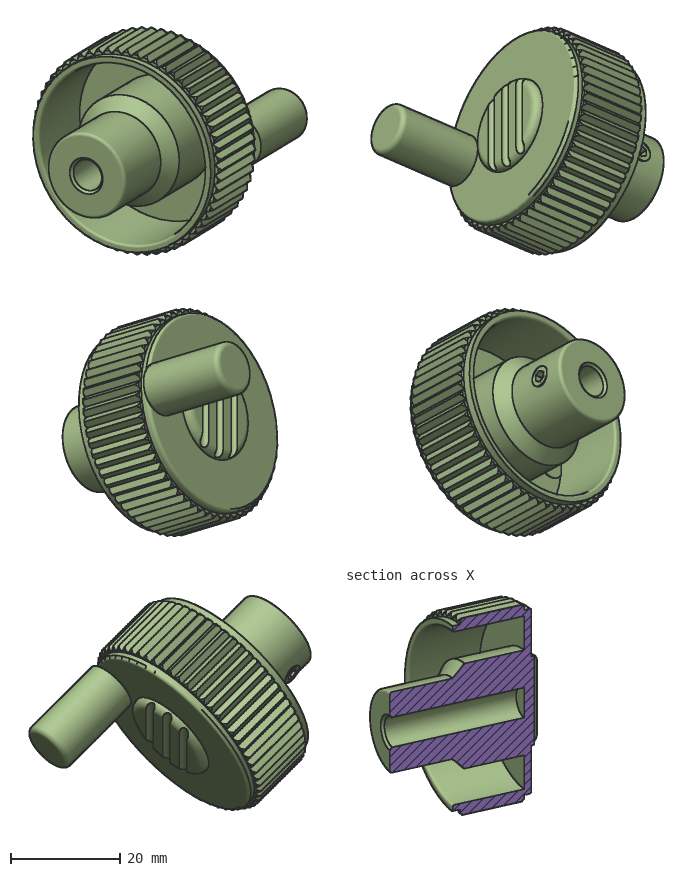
import cadquery as cq
import math

overall_length = 46.98

hub_diameter = 16.5
hub_edge_radius = 0.6
hub_root_diameter = 21.45
bore_diameter = 6.0
bore_chamfer = 0.5

rim_diameter = 37.69
rim_front = 13.0
rim_back = 29.45
rim_back_radius = 0.6
pocket_diameter = 35.05
pocket_floor = 27.8
pocket_edge_radius = 0.5
bore_depth = pocket_floor

tooth_count = 60
tip_radius = 20.0
root_radius = 18.96
knurl_front = 14.55
knurl_back = 27.9
knurl_chamfer = 0.5

cap_diameter = 18.15
cap_height = 1.57
cap_back = rim_back + cap_height
cap_edge_radius = 1.55
groove_diameter = 1.8
groove_pitch = 4.1
groove_axis_depth = 0.12

handle_diameter = 10.0
handle_offset = tip_radius - handle_diameter / 2
handle_edge_radius = 1.0
handle_embedding = 0.05
handle_seat = rim_back - handle_embedding
pin_diameter = 6.0
pin_projection = 0.1

screw_diameter = 4.0
screw_position = 5.5
screw_length = 4.0
socket_across_flats = 2.0
socket_depth = 1.4
socket_tip_depth = 0.5


def cylinder(diameter, start, end, x=0.0):
    """Cylinder parallel to Y, spanning start to end along Y."""
    solid = cq.Solid.makeCylinder(diameter / 2, end - start, cq.Vector(x, start, 0), cq.Vector(0, 1, 0))
    return cq.Workplane(obj=solid)


def make_rim():
    """Cup with a rounded back edge and a rounded pocket mouth, closed by the web behind the pocket."""
    rim = cylinder(rim_diameter, rim_front, rim_back).faces(">Y").edges().fillet(rim_back_radius)
    rim = rim.cut(cylinder(pocket_diameter, rim_front, pocket_floor))
    pocket_edge = cq.selectors.RadiusNthSelector(0)
    return rim.faces("<Y").edges(pocket_edge).fillet(pocket_edge_radius)


def make_knurl():
    """Band of pointed teeth with both ends of every tooth bevelled."""
    points = []
    for step in range(2 * tooth_count):
        radius = tip_radius if step % 2 == 0 else root_radius
        angle = math.pi * step / tooth_count
        points.append((radius * math.cos(angle), radius * math.sin(angle)))
    width = knurl_back - knurl_front
    band = cq.Workplane("XZ", origin=(0, knurl_back, 0)).polyline(points).close().extrude(width)
    envelope = cylinder(2 * tip_radius, knurl_front, knurl_back).edges("%CIRCLE").chamfer(knurl_chamfer)
    return band.intersect(envelope).cut(cylinder(pocket_diameter, knurl_front, knurl_back))


def make_hub():
    """Stepped hub whose 45 degree shoulder starts level with the rim."""
    radius = hub_diameter / 2
    root = hub_root_diameter / 2
    shoulder_end = rim_front + root - radius
    profile = (
        cq.Workplane("XY")
        .polyline(
            [
                (0, 0),
                (radius, 0),
                (radius, rim_front),
                (root, shoulder_end),
                (root, pocket_floor),
                (0, pocket_floor),
            ]
        )
        .close()
    )
    hub = profile.revolve(360, (0, 0, 0), (0, 1, 0))
    return hub.faces("<Y").edges().fillet(hub_edge_radius)


def make_cap():
    """Rounded disc crossed by three parallel round-bottomed grooves."""
    cap = cylinder(cap_diameter, rim_back, cap_back).faces(">Y").edges().fillet(cap_edge_radius)
    for index in (-1, 0, 1):
        groove = (
            cq.Workplane("XY")
            .center(index * groove_pitch, cap_back - groove_axis_depth)
            .circle(groove_diameter / 2)
            .extrude(cap_diameter / 2, both=True)
        )
        cap = cap.cut(groove)
    return cap


def make_handle():
    """Round grip whose pin passes through the web and stands slightly proud of the pocket floor."""
    grip = cylinder(handle_diameter, handle_seat, overall_length, handle_offset)
    grip = grip.faces(">Y").edges().fillet(handle_edge_radius)
    pin = cylinder(pin_diameter, pocket_floor - pin_projection, handle_seat, handle_offset)
    return grip.union(pin)


def make_bore():
    """Blind bore with a chamfered mouth, ending level with the pocket floor."""
    bore = cylinder(bore_diameter, 0, bore_depth)
    mouth = cq.Solid.makeCone(
        bore_diameter / 2 + bore_chamfer,
        bore_diameter / 2,
        bore_chamfer,
        cq.Vector(0, 0, 0),
        cq.Vector(0, 1, 0),
    )
    return bore.union(cq.Workplane(obj=mouth))


def screw_plane():
    """Plane across the set screw's outer face, touching the hub surface, with its normal along +X."""
    return cq.Workplane("YZ", origin=(-hub_diameter / 2, screw_position, 0))


def make_screw():
    """Round screw body set into the hub wall."""
    return screw_plane().circle(screw_diameter / 2).extrude(screw_length)


def make_socket():
    """Hexagonal socket ending in a cone."""
    across_corners = socket_across_flats / math.cos(math.pi / 6)
    socket = screw_plane().transformed(rotate=(0, 0, 90)).polygon(6, across_corners).extrude(socket_depth)
    tip = cq.Solid.makeCone(
        socket_across_flats / 2,
        0,
        socket_tip_depth,
        cq.Vector(-hub_diameter / 2 + socket_depth, screw_position, 0),
        cq.Vector(1, 0, 0),
    )
    return socket.union(cq.Workplane(obj=tip))


wheel = make_rim().union(make_knurl()).union(make_hub()).union(make_cap())
wheel = wheel.union(make_handle()).union(make_screw())
result = wheel.cut(make_bore()).cut(make_socket())